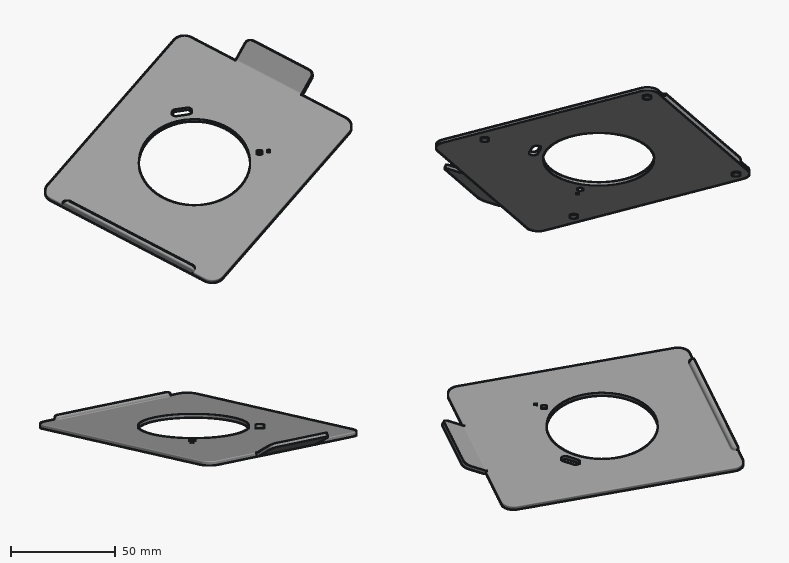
import cadquery as cq
import math

length = 132.3
plate_width = 101.5
plate_depth = 120.8
thickness = 2.0
corner_radius = 6.1
edge_round = 0.5

bore_diameter = 53.3
bore_y = 57.2
opening_circle_radius = 31.8
slot_width = 4.2
slot_length = 9.8
opening_angle = 45.0
pin_hole_diameter = 3.0
mark_hole_diameter = 1.5
mark_circle_radius = 36.3

lip_width = 76.2
lip_depth = 3.2
lip_top = 4.0
lip_corner_radius = 2.6
lip_round = 1.6
lip_front_round = 0.8
lip_foot_round = 0.5

tab_width = 38.1
tab_angle = 30.0
tab_corner_radius = 3.0
bend_inner_radius = 1.6
tab_root_depth = 2.6

foot_diameter = 4.2
foot_height = 0.5
foot_inset = 6.4
foot_back_y = 95.1


def make_plate():
    plate = cq.Workplane("XY").box(plate_width, plate_depth, thickness, centered=(True, False, False))
    return plate.edges("|Z").fillet(corner_radius).faces(">Z").edges().fillet(edge_round)


def make_lip():
    lip = cq.Workplane("XY").box(lip_width, lip_depth, lip_top, centered=(True, False, False))
    lip = lip.edges("|Z and >Y").fillet(lip_corner_radius)
    lip = lip.faces(">Z").edges("not <Y").fillet(lip_round)
    return lip.faces("<Y").edges(">Z").fillet(lip_front_round)


def make_tab():
    cosine = math.cos(math.radians(tab_angle))
    sine = math.sin(math.radians(tab_angle))
    bend_y = plate_depth + thickness * math.tan(math.radians(tab_angle / 2))
    tab_length = (length - bend_y) / cosine
    tip_y = length - thickness * sine
    tip_bottom_z = tab_length * sine
    profile = [
        (plate_depth - tab_root_depth, 0),
        (bend_y, 0),
        (length, tip_bottom_z),
        (tip_y, tip_bottom_z + thickness * cosine),
        (plate_depth, thickness),
        (plate_depth - tab_root_depth, thickness),
    ]
    tab = cq.Workplane("YZ").polyline(profile).close().extrude(tab_width / 2, both=True)
    bend_at = cq.selectors.NearestToPointSelector
    tab = tab.edges(bend_at((0, plate_depth, thickness))).fillet(bend_inner_radius)
    tab = tab.edges(bend_at((0, bend_y, 0))).fillet(bend_inner_radius + thickness)
    tip_corners = tab.faces(cq.selectors.DirectionMinMaxSelector(cq.Vector(0, cosine, sine)))
    return tip_corners.edges("not |X").fillet(tab_corner_radius)


def make_feet():
    foot_x = plate_width / 2 - foot_inset
    centres = [(x, y) for x in (-foot_x, foot_x) for y in (foot_inset, foot_back_y)]
    return cq.Workplane("XY").pushPoints(centres).circle(foot_diameter / 2).extrude(-foot_height)


def on_circle(radius, angle):
    """Point at a polar position around the main bore."""
    direction = math.radians(angle)
    return (radius * math.cos(direction), bore_y + radius * math.sin(direction))


def round_cutter(centre, diameter):
    return cq.Workplane("XY").center(*centre).circle(diameter / 2).extrude(thickness)


def slot_cutter():
    centre = on_circle(opening_circle_radius, 180 - opening_angle)
    outline = cq.Workplane("XY").center(*centre).slot2D(slot_length, slot_width, opening_angle)
    return outline.extrude(thickness)


def add_lip(plate):
    """Join the lip to the plate and blend its foot into the top face."""
    reach = lip_width / 2 + lip_foot_round
    margin = lip_foot_round / 2
    foot_zone = cq.selectors.BoxSelector(
        (-reach, 0, thickness - margin), (reach, lip_depth + margin, thickness + margin)
    )
    return plate.union(make_lip()).edges(foot_zone).fillet(lip_foot_round)


result = add_lip(make_plate()).union(make_tab()).union(make_feet())
result = result.cut(round_cutter((0, bore_y), bore_diameter)).cut(slot_cutter())
result = result.cut(round_cutter(on_circle(opening_circle_radius, opening_angle), pin_hole_diameter))
result = result.cut(round_cutter(on_circle(mark_circle_radius, opening_angle), mark_hole_diameter))